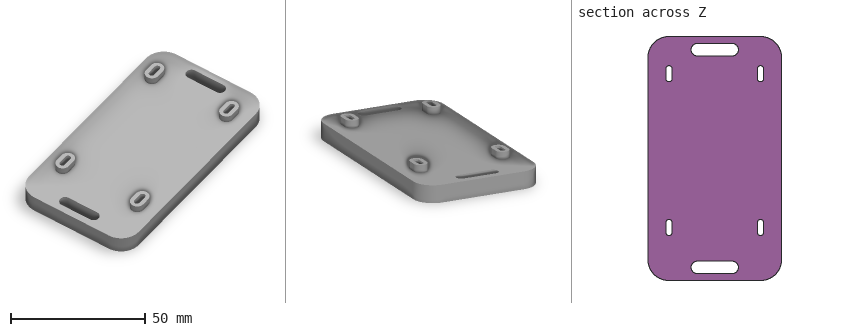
import cadquery as cq

plate_width = 50.0
plate_length = 91.0
plate_thickness = 7.0
corner_radius = 8.0

strap_slot_length = 17.5
strap_slot_width = 4.5
strap_slot_offset = 40.5

total_height = 10.0
boss_length = 8.6
boss_width = 5.5
boss_slot_length = 5.8
boss_slot_width = 2.2
boss_spacing_x = 34.0
boss_front_y = -25.7
boss_back_y = 31.6

boss_centers = [
    (side * boss_spacing_x / 2, y)
    for side in (-1, 1)
    for y in (boss_front_y, boss_back_y)
]
strap_slot_centers = [(0, -strap_slot_offset), (0, strap_slot_offset)]


def slot_prisms(centers, length, width, height, angle):
    """Round-ended prisms standing on Z = 0, at an angle in degrees from X."""
    return (
        cq.Workplane("XY")
        .pushPoints(centers)
        .slot2D(length, width, angle)
        .extrude(height)
    )


plate = (
    cq.Workplane("XY")
    .rect(plate_width, plate_length)
    .extrude(plate_thickness)
    .edges("|Z")
    .fillet(corner_radius)
)

bosses = slot_prisms(boss_centers, boss_length, boss_width, total_height, 90)

boss_slots = slot_prisms(boss_centers, boss_slot_length, boss_slot_width, total_height, 90)
strap_slots = slot_prisms(strap_slot_centers, strap_slot_length, strap_slot_width, total_height, 0)

result = plate.union(bosses).cut(boss_slots).cut(strap_slots)